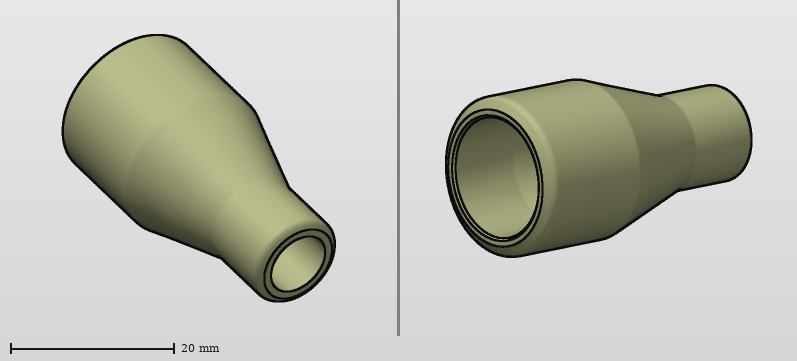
import cadquery as cq
import math

length = 38.0
taper_start = 15.0
taper_end = 28.0
bore_taper_start = 10.0

large_radius = 20.0 / 2
small_radius = 12.0 / 2
large_bore_radius = 15.0 / 2
small_bore_radius = 8.0 / 2

bevel_angle = math.radians(60)
large_face_radius = 8.5
small_face_radius = 5.0
blend_radius = 1.0

mouth_chamfer = 0.3

large_bevel_length = (large_radius - large_face_radius) / math.tan(bevel_angle)
small_bevel_length = (small_radius - small_face_radius) / math.tan(bevel_angle)


def revolve_about_x(points):
    """Turn a closed outline of (axial position, radius) points about the X axis."""
    return cq.Workplane("XY").polyline(points).close().revolve(360, (0, 0, 0), (1, 0, 0))


def make_outside():
    """Solid reducer with bevelled ends and rounded transitions."""
    corners = [
        (large_bevel_length, large_radius),
        (taper_start, large_radius),
        (taper_end, small_radius),
        (length - small_bevel_length, small_radius),
    ]
    outline = [
        (0, 0),
        (0, large_face_radius),
        *corners,
        (length, small_face_radius),
        (length, 0),
    ]
    body = revolve_about_x(outline)
    box_reach = 2 * large_radius
    for position, _ in corners:
        near_corner = cq.selectors.BoxSelector(
            (position - blend_radius / 2, -box_reach, -box_reach),
            (position + blend_radius / 2, box_reach, box_reach),
            boundingbox=True,
        )
        body = body.edges(near_corner).fillet(blend_radius)
    return body


def make_bore():
    """Stepless through bore: chamfered mouth, large bore, taper, small bore."""
    return revolve_about_x([
        (0, 0),
        (0, large_bore_radius + mouth_chamfer),
        (mouth_chamfer, large_bore_radius),
        (bore_taper_start, large_bore_radius),
        (taper_end, small_bore_radius),
        (length, small_bore_radius),
        (length, 0),
    ])


result = make_outside().cut(make_bore())